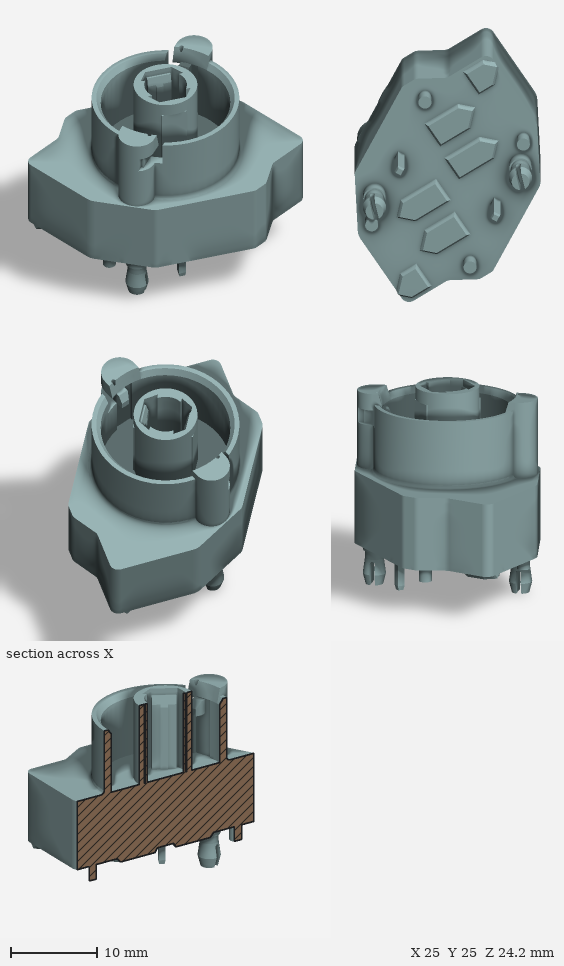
import cadquery as cq
import math

base_height = 8.7
ring_top = 16.7
post_top = 17.75
tube_top = 18.7
snap_bottom = -5.5

base_half_size = 12.5
flank_x = 10.62
flank_end_y = 6.8
nose_low_y = 1.82
nose_high_y = 3.65
shoulder = (6.45, -8.62)
flat_start_x = -0.28
corner_radius = 1.0
flat_start_radius = 2.0

ring_outer_radius = 8.55
ring_inner_radius = 7.5
rim_inner_radius = 8.0
cone_bottom = 16.0
foot_fillet = 0.42

post_turn = 20.0
post_center_v = 8.5
post_radius = 2.15
latch_slot_u = (-3.0, -1.3)
slot_mouth_u = -1.0
slot_mouth_v = 9.6
latch_slot_z = (14.0, 15.78)
slot_inner_v = 5.5
slot_outer_v = 11.5
pin_hole_diameter = 0.5
pin_hole_center = (-4.0, 7.02)

tooth_tip = 6.42
tooth_ridge = 7.05
tooth_root = 7.75
tooth_tip_z = 14.88
tooth_tip_right_u = -0.3
tooth_root_right_u = 0.02
pocket_right_u = 0.95
pocket_back_v = 7.72

tube_diameter = 7.38
bore_radius = 2.48
contact_turn = 150.0
key_flat = (2.82, 1.6)
key_shoulder = (1.42, 2.58)
key_step = (1.38, 2.08)
blade_half_width = 1.42
blade_back = 2.88
blade_edge = 2.6
blade_face = 2.3
blade_top = 17.88
ramp_height = 1.0
bump_half_width = 0.42
bump_face = 2.2
clip_half_width = 1.5
clip_face = 3.52
clip_thickness = 0.5
clip_top = 17.18

peg_diameter = 1.5
peg_length = 1.85
peg_centers = [(10.05, 3.38), (0.52, -10.1)]
snap_center = (-3.02, 8.1)
collar_radius = 1.3
collar_bottom = -1.45
neck_radius = 1.1
neck_bottom = -2.42
barb_radius = 1.35
barb_z = -4.22
snap_tip_radius = 1.02
snap_slot_width = 0.6
snap_slot_top = -2.68
contact_pin_center = (-5.42, 3.1)
contact_pin_width = 0.85
contact_pin_turn = -30.0
contact_pin_taper_z = -4.42
contact_pin_bottom = -4.95
contact_pin_tip_inset = 0.1
foot_height = 0.52
foot_inset = 0.32
corner_foot = [(-8.82, -12.9), (-6.9, -10.98), (-6.9, -8.75), (-10.25, -8.75), (-10.25, -11.48)]
middle_foot = [(-5.75, -7.55), (-3.88, -5.68), (-3.88, -1.5), (-7.22, -1.5), (-7.22, -6.08)]
inner_foot = [(-0.82, -7.55), (0.75, -5.98), (0.75, -1.1), (-2.42, -1.1), (-2.42, -5.95)]


def turn(shape, angle):
    """Turn a shape about the Z axis."""
    return shape.rotate((0, 0, 0), (0, 0, 1), angle)


def both_sides(shape):
    """A shape together with its half-turn copy."""
    return shape.union(turn(shape, 180))


def box_between(x_range, y_range, z_range):
    """Axis-aligned box given by its limits."""
    size = [high - low for low, high in (x_range, y_range, z_range)]
    corner = (x_range[0], y_range[0], z_range[0])
    return cq.Workplane("XY").box(*size, centered=False).translate(corner)


def revolve_profile(points):
    """Solid of revolution about Z from (radius, height) points."""
    return cq.Workplane("XZ").polyline(points).close().revolve(360, (0, 0, 0), (0, 1, 0))


def prism_along_y(points, half_width):
    """Prism of an (X, Z) outline, centered on Y = 0."""
    return cq.Workplane("XZ").polyline(points).close().extrude(half_width, both=True)


def base_block():
    half = [
        (flat_start_x, -base_half_size),
        shoulder,
        (base_half_size, nose_low_y),
        (base_half_size, nose_high_y),
        (flank_x, flank_end_y),
        (flank_x, base_half_size),
    ]
    outline = half + [(-x, -y) for x, y in half]
    block = cq.Workplane("XY").polyline(outline).close().extrude(base_height)
    flat_starts = [(flat_start_x, -base_half_size), (-flat_start_x, base_half_size)]
    first_edge, second_edge = [
        cq.selectors.NearestToPointSelector((x, y, base_height / 2)) for x, y in flat_starts
    ]
    vertical = cq.selectors.ParallelDirSelector(cq.Vector(0, 0, 1))
    block = block.edges(vertical - first_edge - second_edge).fillet(corner_radius)
    return block.edges(first_edge + second_edge).fillet(flat_start_radius)


def outer_ring():
    foot_radius = ring_outer_radius + foot_fillet
    fillet_top = base_height + foot_fillet
    sag = foot_fillet * (1 - math.sqrt(0.5))
    return (
        cq.Workplane("XZ")
        .moveTo(ring_inner_radius, 0)
        .lineTo(foot_radius, 0)
        .lineTo(foot_radius, base_height)
        .threePointArc((ring_outer_radius + sag, base_height + sag), (ring_outer_radius, fillet_top))
        .lineTo(ring_outer_radius, ring_top)
        .lineTo(rim_inner_radius, ring_top)
        .lineTo(ring_inner_radius, cone_bottom)
        .close()
        .revolve(360, (0, 0, 0), (0, 1, 0))
    )


def latch_post():
    """Post with a round back and flat sides, its inner face a lead-in cone."""
    round_back = (
        cq.Workplane("XY").center(0, post_center_v).circle(post_radius).extrude(post_top)
    )
    flat_sides = box_between(
        (-post_radius, post_radius),
        (slot_inner_v, post_center_v),
        (0, post_top),
    )
    inside = revolve_profile([
        (0, 0),
        (ring_inner_radius, 0),
        (ring_inner_radius, cone_bottom),
        (rim_inner_radius, post_top),
        (0, post_top),
    ])
    return turn(round_back.union(flat_sides).cut(inside), post_turn)


def latch_slot():
    """Slot under the post head, open to the rim between post and ring."""
    low, high = latch_slot_z
    across = (slot_inner_v, slot_outer_v)
    undercut = box_between(latch_slot_u, across, (low, high))
    mouth = box_between((latch_slot_u[0], slot_mouth_u), (slot_mouth_v, slot_outer_v), (low, high))
    rim_gap = box_between((latch_slot_u[0], -post_radius), across, (low, post_top))
    hole = (
        cq.Workplane("XY", origin=(*pin_hole_center, high))
        .circle(pin_hole_diameter / 2)
        .extrude(post_top - high)
    )
    return turn(undercut.union(mouth).union(rim_gap), post_turn).union(hole)


def tooth_pocket():
    """Shallow pocket in the ring wall around the latch tooth, below the cone."""
    pocket = box_between(
        (latch_slot_u[1], pocket_right_u), (slot_inner_v, pocket_back_v), (base_height, cone_bottom)
    )
    return turn(pocket, post_turn)


def latch_tooth():
    """Tooth beside the slot, its top sloping down towards the tip."""
    low, high = latch_slot_z
    left_u = latch_slot_u[1]
    outline = [
        (left_u, tooth_tip),
        (tooth_tip_right_u, tooth_tip),
        (tooth_root_right_u, tooth_ridge),
        (tooth_root_right_u, tooth_root),
        (left_u, tooth_root),
    ]
    plan = cq.Workplane("XY", origin=(0, 0, low)).polyline(outline).close().extrude(high - low)
    side = [
        (tooth_root, low),
        (tooth_root, high),
        (tooth_ridge, high),
        (tooth_tip, tooth_tip_z),
        (tooth_tip, low),
    ]
    profile = cq.Workplane("YZ").polyline(side).close().extrude(left_u)
    return turn(plan.intersect(profile), post_turn)


def center_tube():
    """Tube with side clips, keyed socket and contact blades."""
    tube = cq.Workplane("XY").circle(tube_diameter / 2).extrude(tube_top)
    clip = box_between(
        (clip_face - clip_thickness, clip_face), (-clip_half_width, clip_half_width), (0, clip_top)
    )
    clip_seat = box_between(
        (clip_face, tube_diameter / 2), (-tube_diameter / 2, tube_diameter / 2), (base_height, clip_top)
    )
    tube = tube.cut(both_sides(clip_seat))
    upper = [key_flat, key_shoulder, key_step]
    key_outline = upper + [(0, 0)] + [(x, -y) for x, y in reversed(upper)]
    socket_depth = tube_top - base_height
    bottom = cq.Workplane("XY", origin=(0, 0, base_height))
    key = bottom.polyline(key_outline).close().extrude(socket_depth)
    socket = bottom.circle(bore_radius).extrude(socket_depth).union(both_sides(key))

    ramp_slope = ramp_height / (blade_edge - blade_face)

    def blade(face, half_width):
        ramp_bottom = blade_top - (blade_edge - face) * ramp_slope
        profile = [
            (blade_back, 0),
            (blade_back, blade_top),
            (blade_edge, blade_top),
            (face, ramp_bottom),
            (face, 0),
        ]
        return prism_along_y(profile, half_width)

    contact = blade(blade_face, blade_half_width).union(blade(bump_face, bump_half_width))
    return turn(tube.union(both_sides(clip)).cut(socket).union(both_sides(contact)), contact_turn)


def locating_peg(center):
    return cq.Workplane("XY").center(*center).circle(peg_diameter / 2).extrude(-peg_length)


def snap_peg():
    """Barbed peg split by a round-topped slot."""
    peg = revolve_profile([
        (0, 0),
        (collar_radius, 0),
        (collar_radius, collar_bottom),
        (neck_radius, collar_bottom),
        (neck_radius, neck_bottom),
        (barb_radius, barb_z),
        (snap_tip_radius, snap_bottom),
        (0, snap_bottom),
    ])
    slot_radius = snap_slot_width / 2
    slot_round_z = snap_slot_top - slot_radius
    slot = box_between(
        (-collar_radius * 2, collar_radius * 2), (-slot_radius, slot_radius), (snap_bottom, slot_round_z)
    ).union(
        cq.Workplane("YZ").center(0, slot_round_z).circle(slot_radius).extrude(collar_radius * 2, both=True)
    )
    return turn(peg.cut(slot), post_turn).translate((*snap_center, 0))


def contact_pin():
    tip_length = contact_pin_taper_z - contact_pin_bottom
    tip_angle = math.degrees(math.atan(contact_pin_tip_inset / tip_length))
    pin = cq.Workplane("XY").rect(contact_pin_width, contact_pin_width).extrude(contact_pin_taper_z)
    tip = (
        cq.Workplane("XY", origin=(0, 0, contact_pin_taper_z))
        .rect(contact_pin_width, contact_pin_width)
        .extrude(-tip_length, taper=tip_angle)
    )
    return turn(pin.union(tip), contact_pin_turn).translate((*contact_pin_center, 0))


def standoff_foot(outline):
    """Low foot with sloped sides, trimmed flush with the block's end faces."""
    slope_angle = math.degrees(math.atan(foot_inset / foot_height))
    foot = cq.Workplane("XY").polyline(outline).close().extrude(-foot_height, taper=slope_angle)
    limits = (-base_half_size, base_half_size)
    return foot.intersect(box_between(limits, limits, (-foot_height, 0)))


result = base_block().union(outer_ring())
result = result.union(both_sides(latch_post()))
result = result.cut(both_sides(latch_slot()))
result = result.cut(both_sides(tooth_pocket()))
result = result.union(both_sides(latch_tooth()))
result = result.union(center_tube())

for peg_center in peg_centers:
    result = result.union(both_sides(locating_peg(peg_center)))
result = result.union(both_sides(snap_peg()))
result = result.union(both_sides(contact_pin()))
for foot_outline in (corner_foot, middle_foot, inner_foot):
    result = result.union(both_sides(standoff_foot(foot_outline)))